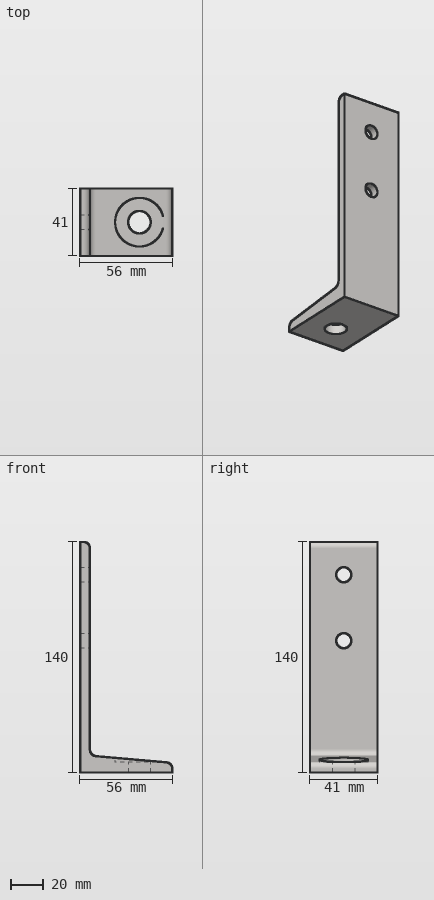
import cadquery as cq
import math

foot_length = 56.0
width = 41.0
height = 140.0

wall_thickness = 6.0
toe_thickness = 6.0
foot_taper = 5.0
edge_radius = 4.0

wall_hole_diameter = 9.0
wall_hole_top_margin = 20.0
wall_hole_spacing = 40.0

foot_hole_diameter = 13.5
foot_hole_x = 36.0
spotface_diameter = 29.5
spotface_height = 6.5


def make_angle():
    """L section with rounded edges, extruded symmetrically about the XZ plane."""
    taper_rise = (foot_length - wall_thickness) * math.tan(math.radians(foot_taper))
    root_thickness = toe_thickness + taper_rise
    outline = [
        (0, 0),
        (foot_length, 0),
        (foot_length, toe_thickness),
        (wall_thickness, root_thickness),
        (wall_thickness, height),
        (0, height),
    ]
    rounded_corners = [
        (foot_length, toe_thickness),
        (wall_thickness, root_thickness),
        (wall_thickness, height),
    ]
    angle = cq.Workplane("XZ").polyline(outline).close().extrude(width / 2, both=True)
    for x, z in rounded_corners:
        corner_edge = cq.selectors.NearestToPointSelector((x, 0, z))
        angle = angle.edges("|Y").edges(corner_edge).fillet(edge_radius)
    return angle


def wall_hole(z):
    """Cutter for a hole along X through the wall."""
    return (
        cq.Workplane("YZ")
        .center(0, z)
        .circle(wall_hole_diameter / 2)
        .extrude(wall_thickness)
    )


def foot_cylinder(diameter, bottom, top):
    """Vertical cutter on the foot hole axis."""
    return (
        cq.Workplane("XY", origin=(foot_hole_x, 0, bottom))
        .circle(diameter / 2)
        .extrude(top - bottom)
    )


result = make_angle()

for index in range(2):
    hole_z = height - wall_hole_top_margin - index * wall_hole_spacing
    result = result.cut(wall_hole(hole_z))

result = result.cut(foot_cylinder(foot_hole_diameter, 0, height))
result = result.cut(foot_cylinder(spotface_diameter, spotface_height, height))